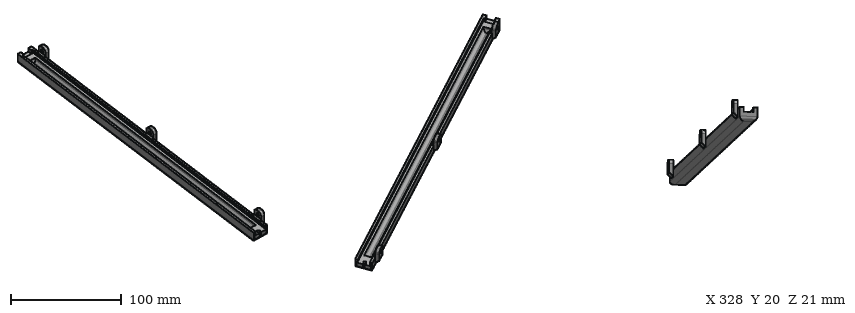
import cadquery as cq

length = 328.0
rail_width = 16.5
rail_height = 12.0
rail_middle = rail_width / 2
bottom_round = 4.0
channel_width = 13.5
lip_opening = 11.5
lip_bottom = 9.2
channel_bottom = 3.0
end_stop = 4.3
mouth_width = 9.0

strip_top = 8.0
strip_width = channel_width

tray_start = 10.5
tray_end = 317.2
tray_width = 7.2
tray_depth = 4.0
bottom_flat = 0.05
tray_round = (tray_width - bottom_flat) / 2

keyhole_diameter = 3.0
keyhole_inset = 2.5
keyhole_slot = 1.5

tab_width = 10.0
tab_thickness = 4.0
tab_back = 20.0
tab_top = 21.0
tab_bottom = 5.0
tab_corner = 4.0
tab_hole = 3.3
tab_hole_drop = 5.0
tab_count = 3
first_tab = 15.0
tab_spacing = 150.0
tab_overhang = tab_back - rail_width
tab_front = tab_back - tab_thickness
wedge_size = 1.5


def box(x0, x1, y0, y1, z0, z1):
    """Box between the given coordinates."""
    return cq.Workplane("XY").box(x1 - x0, y1 - y0, z1 - z0, centered=False).translate((x0, y0, z0))


def middle_box(x0, x1, width, z0, z1):
    """Box centred across the width of the rail."""
    return box(x0, x1, rail_middle - width / 2, rail_middle + width / 2, z0, z1)


def make_tab(x):
    """Tab with rounded top corners, a hole, a sloping underside and a wedge at its foot."""
    left = x - tab_width / 2
    tab = box(left, left + tab_width, tab_front, tab_back, tab_bottom, tab_top)
    tab = tab.edges("|Y and >Z").fillet(tab_corner)
    tab = tab.faces("<Z").edges(">Y").chamfer(tab_overhang)
    wedge = (
        cq.Workplane("YZ", origin=(left, 0, 0))
        .moveTo(tab_front, rail_height)
        .lineTo(tab_front - wedge_size, rail_height)
        .lineTo(tab_front, rail_height + wedge_size)
        .close()
        .extrude(tab_width)
    )
    hole = (
        cq.Workplane("XZ", origin=(x, tab_back, tab_top - tab_hole_drop))
        .circle(tab_hole / 2)
        .extrude(tab_thickness)
    )
    return tab.union(wedge).cut(hole)


def make_rail():
    """Rail with an undercut channel, an end stop at -X and three tabs."""
    rail = box(0, length, 0, rail_width, 0, rail_height)
    rail = rail.faces("<Z").edges().fillet(bottom_round)
    for index in range(tab_count):
        rail = rail.union(make_tab(first_tab + index * tab_spacing))
    channel = middle_box(end_stop, length, channel_width, channel_bottom, lip_bottom)
    opening = middle_box(end_stop, length, lip_opening, lip_bottom, rail_height)
    mouth = middle_box(0, end_stop, mouth_width, strip_top, rail_height)
    return rail.cut(channel).cut(opening).cut(mouth)


def make_strip():
    """Strip with a long round-bottomed tray and a keyhole at its end."""
    strip = middle_box(end_stop, length, strip_width, channel_bottom, strip_top)
    tray = middle_box(tray_start, tray_end, tray_width, strip_top - tray_depth, strip_top)
    tray = tray.faces("<Z").edges().fillet(tray_round)
    keyhole_x = length - keyhole_inset
    strip_height = strip_top - channel_bottom
    keyhole = (
        cq.Workplane("XY", origin=(keyhole_x, rail_middle, channel_bottom))
        .circle(keyhole_diameter / 2)
        .extrude(strip_height)
    )
    slot = middle_box(keyhole_x, length, keyhole_slot, channel_bottom, strip_top)
    return strip.cut(tray).cut(keyhole).cut(slot)


rail = make_rail()
strip = make_strip()

result = cq.Compound.makeCompound([rail.val(), strip.val()])